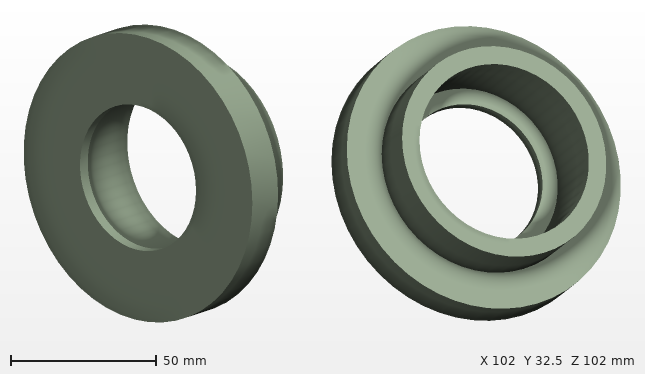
import cadquery as cq

flange_diameter = 102.0
hub_diameter = 76.0
total_length = 32.5
flange_thickness = 14.0

lip_diameter = 51.7
bore_diameter = 63.0
lip_length = 4.2


def cylinder_along_y(diameter, start, end):
    """Solid cylinder centred on the Y axis between two Y positions."""
    base = cq.Workplane("XZ", origin=(0, start, 0))
    return base.circle(diameter / 2).extrude(start - end)


flange = cylinder_along_y(flange_diameter, 0, flange_thickness)
hub = cylinder_along_y(hub_diameter, flange_thickness, total_length)

lip_hole = cylinder_along_y(lip_diameter, 0, total_length)
wide_bore = cylinder_along_y(bore_diameter, lip_length, total_length)

result = flange.union(hub).cut(lip_hole).cut(wide_bore)